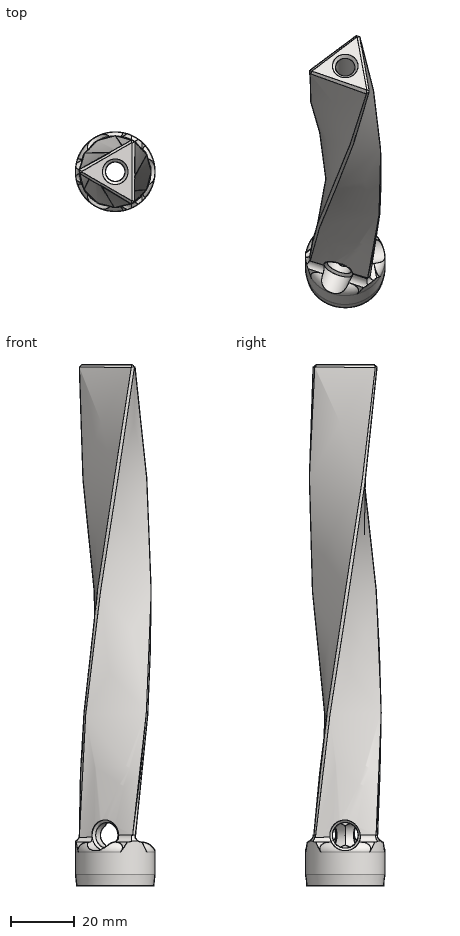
import cadquery as cq
import math

total_height = 163.0
base_radius = 12.47

base_height = 13.7
foot_radius = 12.0
foot_height = 3.6
shoulder_radius = 3.1

flat_distance = 6.11
corner_distance = 11.2
corner_angles = (60, 180, 300)
twist_angle = 120.0
flare_size = 2.3
flare_skirt = 1.5
flare_start = base_height - shoulder_radius
top_chamfer = 0.8

bore_diameter = 6.0
countersink_diameter = 8.0

port_count = 3
port_diameter = 8.0
port_mouth_diameter = 9.6
port_height = 15.8


def blunt_triangle(growth=0.0):
    """Corner points of the shaft section, with its flats moved out by growth."""
    flat = flat_distance + growth
    corner = corner_distance + growth
    half_tip = (2 * flat - corner) / math.sqrt(3)
    points = []
    for angle in corner_angles:
        a = math.radians(angle)
        for side in (-half_tip, half_tip):
            x = corner * math.cos(a) - side * math.sin(a)
            y = corner * math.sin(a) + side * math.cos(a)
            points.append((x, y))
    return points


def make_base():
    foot = (
        cq.Workplane("XY")
        .circle(foot_radius)
        .workplane(offset=foot_height)
        .circle(base_radius)
        .loft(ruled=True)
    )
    body = (
        cq.Workplane("XY", origin=(0, 0, foot_height))
        .circle(base_radius)
        .extrude(base_height - foot_height)
        .faces(">Z").edges().fillet(shoulder_radius)
    )
    return foot.union(body)


def make_shaft():
    shaft_height = total_height - base_height
    shaft = (
        cq.Workplane("XY", origin=(0, 0, base_height))
        .polyline(blunt_triangle()).close()
        .twistExtrude(shaft_height, twist_angle)
    )
    envelope = (
        cq.Workplane("XY")
        .polyline(blunt_triangle(total_height - top_chamfer)).close()
        .workplane(offset=total_height)
        .polyline(blunt_triangle(-top_chamfer)).close()
        .loft(ruled=True)
    )
    return shaft.intersect(envelope)


def flare_side(distance, angle):
    """A wide wall whose outer face curves in from the base to one side of the shaft."""
    top = base_height + flare_size
    bend = flare_size * (1 - math.sqrt(0.5))
    wall = (
        cq.Workplane("XZ")
        .moveTo(-total_height, flare_start)
        .lineTo(distance + flare_size + flare_skirt, flare_start)
        .lineTo(distance + flare_size, base_height)
        .threePointArc((distance + bend, base_height + bend), (distance, top))
        .lineTo(-total_height, top)
        .close()
        .extrude(total_height, both=True)
    )
    return wall.rotate((0, 0, 0), (0, 0, 1), angle)


def make_flare():
    """Hollow blend around the foot of the shaft, kept inside the base cylinder."""
    flare = cq.Workplane("XY").circle(base_radius).extrude(total_height)
    for angle in corner_angles:
        flare = flare.intersect(flare_side(corner_distance, angle))
        flare = flare.intersect(flare_side(flat_distance, angle + 180))
    return flare


def make_bore():
    sink_depth = (countersink_diameter - bore_diameter) / 2
    bore = cq.Workplane("XY").circle(bore_diameter / 2).extrude(total_height)
    sink = (
        cq.Workplane("XY", origin=(0, 0, total_height - sink_depth))
        .circle(bore_diameter / 2)
        .workplane(offset=sink_depth)
        .circle(countersink_diameter / 2)
        .loft(ruled=True)
    )
    return bore.union(sink)


def make_port(angle):
    """A level round port running outward from the axis, widened by a bevel at the flat."""
    bevel = (port_mouth_diameter - port_diameter) / 2
    reach = 2 * base_radius
    bore = (
        cq.Workplane("YZ", origin=(0, 0, port_height))
        .circle(port_diameter / 2)
        .extrude(reach)
    )
    mouth = (
        cq.Workplane("YZ", origin=(flat_distance - bevel, 0, port_height))
        .circle(port_mouth_diameter / 2)
        .extrude(reach)
        .faces("<X").edges().chamfer(bevel)
    )
    return bore.union(mouth).rotate((0, 0, 0), (0, 0, 1), angle)


result = make_base().union(make_shaft()).union(make_flare()).cut(make_bore())
for index in range(port_count):
    result = result.cut(make_port(index * 360 / port_count))